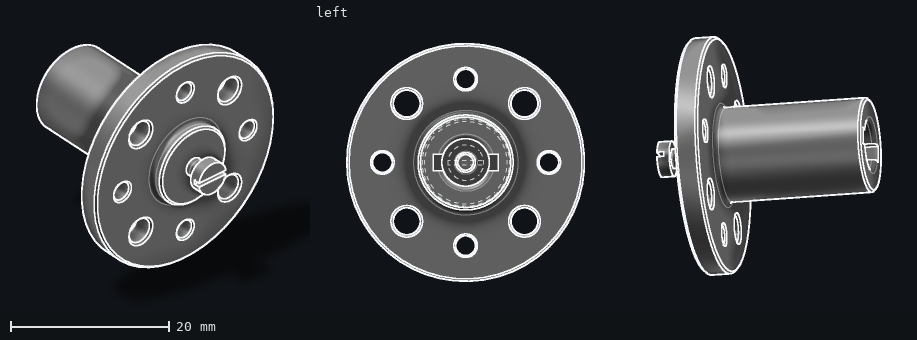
import cadquery as cq
import math

edge_chamfer = 0.3
fillet_radius = 0.6
sleeve_radius = 12.0 / 2
flange_radius = 30.0 / 2
boss_radius = 11.0 / 2
flange_front = 19.0
flange_thickness = 3.0
flange_back = flange_front + flange_thickness
boss_end = 23.6

bore_radius = 6.0 / 2
mouth_radius = 0.6
keyway_span = 8.22
keyway_height = 2.1

disc_front = 19.5
disc_thickness = 1.5
stud_radius = 2.5 / 2
stud_root_radius = 2.9 / 2
stud_root_fillet = stud_root_radius - stud_radius
stud_tip_radius = 1.95 / 2
stud_tip_chamfer = stud_radius - stud_tip_radius
stud_length = 1.5
bore_depth = disc_front + disc_thickness

bolt_circle_radius = 10.5
small_hole_diameter = 2.5
large_hole_diameter = 3.4
holes_per_size = 4
hole_spacing = 360 / holes_per_size
small_hole_chamfer = 0.25
large_hole_chamfer = 0.3

screw_radius = 2.5 / 2
waist_radius = 2.28 / 2
waist_start = 24.2
waist_middle = 25.0
waist_end = 25.45
head_start = 25.62
head_end = 27.2
head_radius = 4.5 / 2
driver_slot_width = 0.6
driver_slot_depth = 0.9


def rod(radius, start, end):
    """Cylinder on the X axis."""
    return cq.Workplane("YZ", origin=(start, 0, 0)).circle(radius).extrude(end - start)


def revolve_about_x(profile):
    return profile.close().revolve(360, (0, 0, 0), (1, 0, 0))


def quarter_round_offset(radius):
    """Distance from each tangent face to the midpoint of a quarter-round fillet."""
    return radius * (1 - math.sqrt(0.5))


def make_flanged_sleeve():
    """Sleeve, flange and rear boss, with chamfered rims and filleted roots."""
    root_offset = quarter_round_offset(fillet_radius)
    profile = (
        cq.Workplane("XY")
        .moveTo(0, 0)
        .lineTo(0, sleeve_radius - edge_chamfer)
        .lineTo(edge_chamfer, sleeve_radius)
        .lineTo(flange_front - fillet_radius, sleeve_radius)
        .threePointArc(
            (flange_front - root_offset, sleeve_radius + root_offset),
            (flange_front, sleeve_radius + fillet_radius),
        )
        .lineTo(flange_front, flange_radius - edge_chamfer)
        .lineTo(flange_front + edge_chamfer, flange_radius)
        .lineTo(flange_back - edge_chamfer, flange_radius)
        .lineTo(flange_back, flange_radius - edge_chamfer)
        .lineTo(flange_back, boss_radius + fillet_radius)
        .threePointArc(
            (flange_back + root_offset, boss_radius + root_offset),
            (flange_back + fillet_radius, boss_radius),
        )
        .lineTo(boss_end - edge_chamfer, boss_radius)
        .lineTo(boss_end, boss_radius - edge_chamfer)
        .lineTo(boss_end, 0)
    )
    return revolve_about_x(profile)


def cut_keyed_bore(body):
    """Bore with a rounded mouth, two opposite keyways and a threaded hole in its floor."""
    body = body.cut(rod(bore_radius, 0, bore_depth))
    mouth_edge = cq.selectors.RadiusNthSelector(0)
    body = body.faces("<X").edges(mouth_edge).fillet(mouth_radius)
    keyways = (
        cq.Workplane("YZ")
        .rect(keyway_span, keyway_height)
        .extrude(disc_front)
    )
    return body.cut(keyways).cut(rod(screw_radius, bore_depth, boss_end))


def flange_hole_cutter(diameter, hole_chamfer):
    """Through hole with a chamfer at each face of the flange, on the X axis."""
    radius = diameter / 2
    mouth = radius + hole_chamfer
    profile = (
        cq.Workplane("XY")
        .moveTo(flange_front, 0)
        .lineTo(flange_front, mouth)
        .lineTo(flange_front + hole_chamfer, radius)
        .lineTo(flange_back - hole_chamfer, radius)
        .lineTo(flange_back, mouth)
        .lineTo(flange_back, 0)
    )
    return revolve_about_x(profile)


def cut_hole_ring(body, diameter, hole_chamfer, first_angle):
    cutter = flange_hole_cutter(diameter, hole_chamfer).translate((0, bolt_circle_radius, 0))
    for index in range(holes_per_size):
        angle = first_angle + index * hole_spacing
        body = body.cut(cutter.rotate((0, 0, 0), (1, 0, 0), angle))
    return body


def make_housing():
    body = cut_keyed_bore(make_flanged_sleeve())
    body = cut_hole_ring(body, small_hole_diameter, small_hole_chamfer, 0)
    return cut_hole_ring(body, large_hole_diameter, large_hole_chamfer, hole_spacing / 2)


def make_plug():
    """Disc closing the bore, with a chamfered stud rising from a filleted root."""
    stud_tip = disc_front - stud_length
    root_offset = quarter_round_offset(stud_root_fillet)
    profile = (
        cq.Workplane("XY")
        .moveTo(stud_tip, 0)
        .lineTo(stud_tip, stud_tip_radius)
        .lineTo(stud_tip + stud_tip_chamfer, stud_radius)
        .lineTo(disc_front - stud_root_fillet, stud_radius)
        .threePointArc(
            (disc_front - root_offset, stud_radius + root_offset),
            (disc_front, stud_root_radius),
        )
        .lineTo(disc_front, bore_radius)
        .lineTo(bore_depth, bore_radius)
        .lineTo(bore_depth, 0)
    )
    return revolve_about_x(profile)


def make_screw():
    """Slotted screw threaded into the boss, with a waist under its head."""
    profile = (
        cq.Workplane("XY")
        .moveTo(bore_depth, 0)
        .lineTo(bore_depth, screw_radius)
        .lineTo(waist_start, screw_radius)
        .lineTo(waist_middle, waist_radius)
        .lineTo(waist_end, screw_radius)
        .lineTo(head_start, screw_radius)
        .lineTo(head_start, head_radius)
        .lineTo(head_end, head_radius)
        .lineTo(head_end, 0)
    )
    driver_slot = cq.Workplane("XY").box(
        driver_slot_depth, 2 * head_radius, driver_slot_width
    ).translate((head_end - driver_slot_depth / 2, 0, 0))
    return revolve_about_x(profile).cut(driver_slot)


housing = make_housing()
plug = make_plug()
screw = make_screw()

result = cq.Compound.makeCompound([housing.val(), plug.val(), screw.val()])